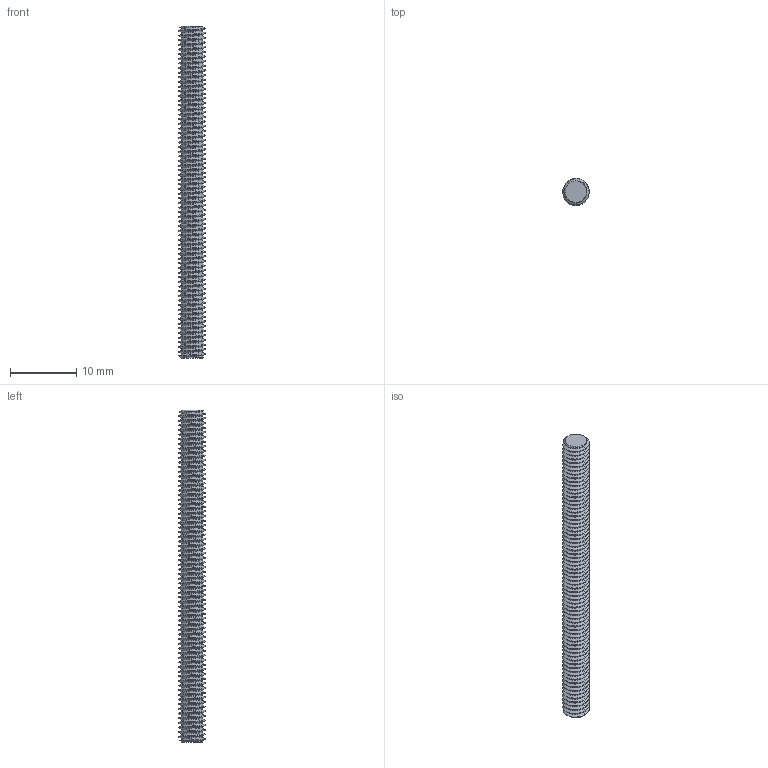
import cadquery as cq
import math

major_diameter = 4.0
pitch = 0.7
length = 50.0
thread_angle = -90

thread_depth = 0.385
crest_flat = pitch / 8
root_flat = pitch / 4
flank_height = (pitch - crest_flat - root_flat) / 2

major_radius = major_diameter / 2
minor_radius = major_radius - thread_depth
end_chamfer = pitch / 2
end_radius = major_radius - end_chamfer

spare_turns = 2
turns = math.ceil(length / pitch) + 2 * spare_turns

thread_outline = [
    (minor_radius, 0),
    (minor_radius, root_flat),
    (major_radius, root_flat + flank_height),
    (major_radius, root_flat + flank_height + crest_flat),
    (minor_radius, pitch),
]


def helix_turn(radius, height):
    """One full right-hand turn, starting above the +X axis at the given height."""
    return cq.Wire.makeHelix(pitch, pitch, radius).translate(cq.Vector(0, 0, height)).Edges()[0]


def thread_turn_faces():
    """Root, flanks and crest of one turn."""
    edges = [helix_turn(radius, height) for radius, height in thread_outline]
    return [cq.Face.makeRuledSurface(lower, upper) for lower, upper in zip(edges, edges[1:])]


def closing_faces(base):
    """Helical ramp out from the axis, and the flat step that joins its two ends."""
    axis = cq.Edge.makeLine(cq.Vector(0, 0, base), cq.Vector(0, 0, base + pitch))
    ramp = cq.Face.makeRuledSurface(axis, helix_turn(minor_radius, base))
    corners = [(0, 0)] + thread_outline + [(0, pitch)]
    points = [cq.Vector(radius, 0, base + height) for radius, height in corners]
    step = cq.Face.makeFromWires(cq.Wire.makePolygon(points, close=True))
    return [ramp, step]


def make_thread():
    """Closed threaded bar, longer than the rod at both ends."""
    one_turn = thread_turn_faces()
    faces = closing_faces(0) + closing_faces(turns * pitch)
    for turn in range(turns):
        lift = cq.Vector(0, 0, turn * pitch)
        faces += [face.translate(lift) for face in one_turn]
    bar = cq.Solid.makeSolid(cq.Shell.makeShell(faces))
    bar = cq.Workplane(bar).rotate((0, 0, 0), (0, 0, 1), thread_angle)
    return bar.translate((0, 0, -spare_turns * pitch))


def make_envelope():
    """Two 45 degree cones, base to base, that trim the length and chamfer both ends."""
    return (
        cq.Workplane("XZ")
        .polyline([
            (0, 0),
            (end_radius, 0),
            (end_radius + length / 2, length / 2),
            (end_radius, length),
            (0, length),
        ])
        .close()
        .revolve(360, (0, 0, 0), (0, 1, 0))
    )


result = make_thread().intersect(make_envelope())